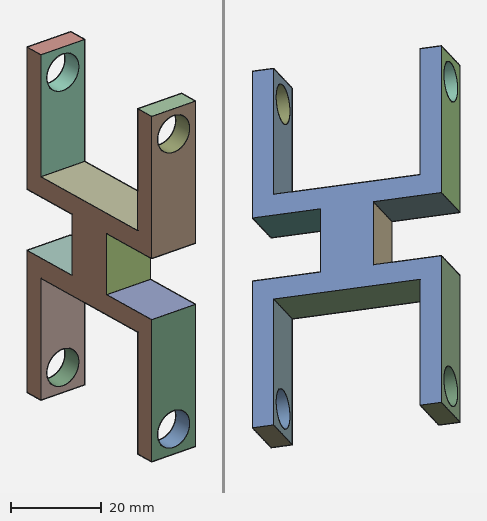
import cadquery as cq

width = 44.3
depth = 12.4
wall = 5.0
arm_length = 30.0
neck_width = 12.4
neck_height = 15.0
hole_diameter = 9.0

fork_height = arm_length + wall
height = 2 * fork_height + neck_height
hole_end_distance = depth / 2
hole_z = height / 2 - hole_end_distance


def make_fork(direction):
    """U-shaped fork opening up (direction 1) or down (direction -1)."""
    base_z = direction * neck_height / 2
    block = cq.Workplane("XY").box(width, depth, fork_height)
    block = block.translate((0, 0, base_z + direction * fork_height / 2))
    slot = cq.Workplane("XY").box(width - 2 * wall, depth, arm_length)
    slot = slot.translate((0, 0, base_z + direction * (wall + arm_length / 2)))
    return block.cut(slot)


def make_pin_hole(z):
    """Cylinder along X that pierces both arms of a fork at height z."""
    hole = cq.Workplane("YZ").circle(hole_diameter / 2).extrude(width / 2, both=True)
    return hole.translate((0, 0, z))


result = cq.Workplane("XY").box(neck_width, depth, neck_height)
for direction in (1, -1):
    result = result.union(make_fork(direction))
for direction in (1, -1):
    result = result.cut(make_pin_hole(direction * hole_z))